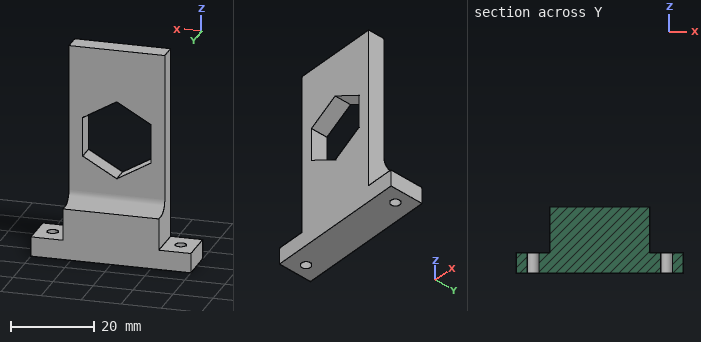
import cadquery as cq
import math

base_length = 40.0
depth = 10.0
total_height = 53.0
base_height = 5.0
column_width = 24.0
wall_thickness = depth / 2
step_height = 13.0
fillet_radius = 3.0
hex_across_flats = 17.0
hex_center_height = 30.0
screw_hole_diameter = 2.7
screw_hole_spacing = 32.0

front_y = -depth / 2
back_y = depth / 2
wall_back_y = front_y + wall_thickness


def make_base():
    """Flat mounting foot, resting on Z = 0."""
    return cq.Workplane("XY").box(base_length, depth, base_height, centered=(True, True, False))


def make_column():
    """Upright wall with a thick lower step, blended by a concave fillet."""
    arc_offset = fillet_radius * (1 - math.sqrt(0.5))
    profile = (
        cq.Workplane("YZ")
        .workplane(offset=-column_width / 2)
        .moveTo(front_y, 0)
        .lineTo(back_y, 0)
        .lineTo(back_y, step_height)
        .lineTo(wall_back_y + fillet_radius, step_height)
        .threePointArc(
            (wall_back_y + arc_offset, step_height + arc_offset),
            (wall_back_y, step_height + fillet_radius),
        )
        .lineTo(wall_back_y, total_height)
        .lineTo(front_y, total_height)
        .close()
    )
    return profile.extrude(column_width)


def make_hex_cutter():
    """Hexagonal prism along Y with one corner pointing up."""
    across_corners = hex_across_flats / math.cos(math.pi / 6)
    return (
        cq.Workplane("XZ")
        .center(0, hex_center_height)
        .transformed(rotate=(0, 0, 90))
        .polygon(6, across_corners)
        .extrude(depth, both=True)
    )


def make_screw_hole_cutters():
    """Vertical cylinders for the two screw holes in the foot."""
    return (
        cq.Workplane("XY")
        .pushPoints([(-screw_hole_spacing / 2, 0), (screw_hole_spacing / 2, 0)])
        .circle(screw_hole_diameter / 2)
        .extrude(base_height)
    )


result = (
    make_base()
    .union(make_column())
    .cut(make_hex_cutter())
    .cut(make_screw_hole_cutters())
)